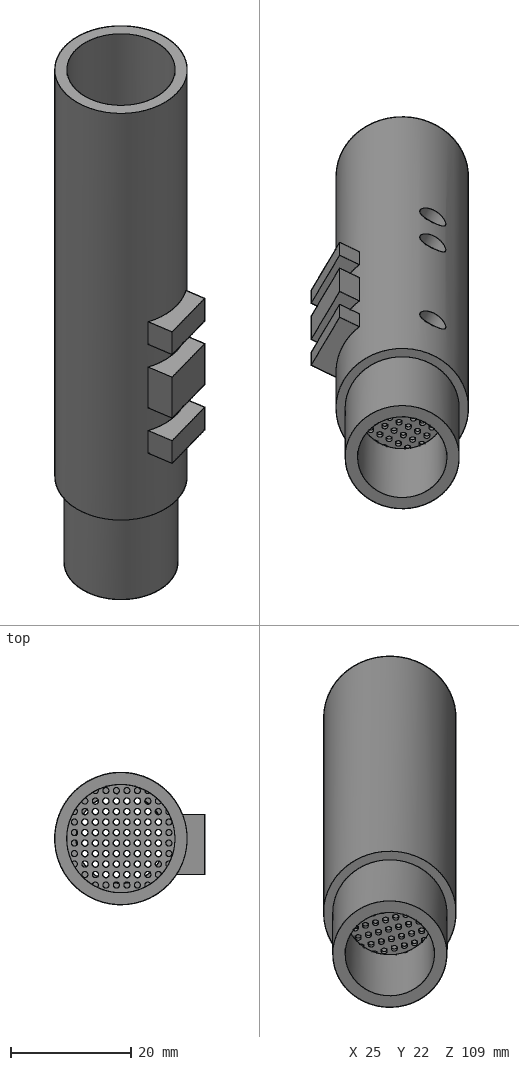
import cadquery as cq
import math

total_height = 109.0
spigot_height = 19.0
body_height = total_height - spigot_height
body_diameter = 22.0
body_bore = 18.0
spigot_diameter = 19.0
spigot_bore = 14.8

plate_thickness = 1.0
plate_hole_diameter = 1.0
plate_hole_pitch = 1.7
plate_holes_per_row = 10
plate_grid_shift = 0.13

side_hole_diameter = 4.9
side_hole_heights = [33.0, 63.0, 73.0]

lug_outer_x = 14.0
lug_depth = 5.0
lug_width = 10.0
lug_center_y = -1.0
end_lug_height = 5.0
middle_lug_height = 9.0
lug_gap = 5.0
lowest_lug_bottom = 32.9
middle_lug_bottom = lowest_lug_bottom + end_lug_height + lug_gap
highest_lug_bottom = middle_lug_bottom + middle_lug_height + lug_gap
lugs = [
    (lowest_lug_bottom, end_lug_height),
    (middle_lug_bottom, middle_lug_height),
    (highest_lug_bottom, end_lug_height),
]


def cylinder(diameter, bottom, height):
    """Upright cylinder on the tube axis."""
    return cq.Workplane("XY", origin=(0, 0, bottom)).circle(diameter / 2).extrude(height)


def plate_hole_centers():
    """Square grid points whose holes reach inside the body bore."""
    half_span = plate_hole_pitch * (plate_holes_per_row - 1) / 2
    reach = (body_bore + plate_hole_diameter) / 2
    first_offset = plate_grid_shift - half_span
    offsets = [first_offset + i * plate_hole_pitch for i in range(plate_holes_per_row)]
    return [(x, y) for x in offsets for y in offsets if math.hypot(x, y) < reach]


def perforated_plate():
    """Disc that fills the body bore; holes near its rim are cut off by the wall."""
    disc = cylinder(body_bore, spigot_height, plate_thickness)
    hole_plane = cq.Workplane("XY", origin=(0, 0, spigot_height)).pushPoints(plate_hole_centers())
    holes = hole_plane.circle(plate_hole_diameter / 2).extrude(plate_thickness)
    return disc.cut(holes)


def lug(bottom, height):
    """Rectangular block set into the +X side of the body wall."""
    center_x = lug_outer_x - lug_depth / 2
    base = cq.Workplane("XY", origin=(center_x, lug_center_y, bottom))
    return base.rect(lug_depth, lug_width).extrude(height)


def side_hole(height):
    """Radial cutter running from the tube axis out through the +Y wall."""
    axis_start = cq.Vector(0, 0, height)
    outward = cq.Vector(0, 1, 0)
    return cq.Workplane(cq.Solid.makeCylinder(side_hole_diameter / 2, body_diameter, axis_start, outward))


body = cylinder(body_diameter, spigot_height, body_height)
for lug_bottom, lug_height in lugs:
    body = body.union(lug(lug_bottom, lug_height))
body = body.cut(cylinder(body_bore, spigot_height, body_height))
for hole_height in side_hole_heights:
    body = body.cut(side_hole(hole_height))

spigot = cylinder(spigot_diameter, 0, spigot_height).cut(cylinder(spigot_bore, 0, spigot_height))

result = body.union(spigot).union(perforated_plate())